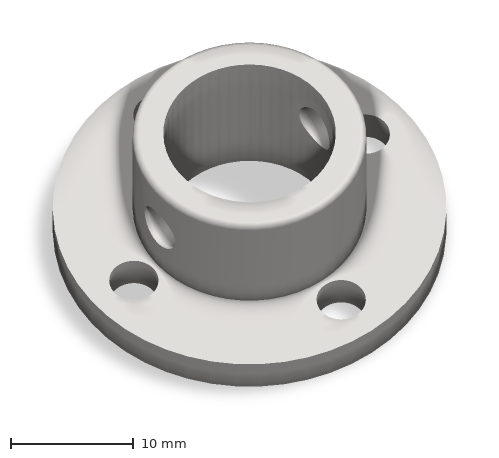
import cadquery as cq

flange_diameter = 32.0
flange_thickness = 3.0

total_height = 13.0
hub_diameter = 19.0
bore_diameter = 14.0
hub_edge_radius = 0.5

hole_diameter = 4.0
bolt_circle_diameter = 24.0
bolt_count = 4
cross_hole_height = 8.0


def flanged_hub():
    """Round flange with a cylindrical hub whose top outer edge is rounded."""
    hub = cq.Workplane("XY").circle(hub_diameter / 2).extrude(total_height)
    hub = hub.faces(">Z").edges().fillet(hub_edge_radius)
    flange = cq.Workplane("XY").circle(flange_diameter / 2).extrude(flange_thickness)
    return flange.union(hub)


def bore():
    """Through bore along the Z axis."""
    return cq.Workplane("XY").circle(bore_diameter / 2).extrude(total_height)


def bolt_holes():
    """Evenly spaced holes through the flange, starting on the X axis."""
    return (
        cq.Workplane("XY")
        .polarArray(bolt_circle_diameter / 2, 0, 360, bolt_count)
        .circle(hole_diameter / 2)
        .extrude(flange_thickness)
    )


def cross_hole():
    """Hole along Y through both walls of the hub."""
    return (
        cq.Workplane("XZ")
        .center(0, cross_hole_height)
        .circle(hole_diameter / 2)
        .extrude(hub_diameter / 2, both=True)
    )


result = flanged_hub().cut(bore()).cut(bolt_holes()).cut(cross_hole())